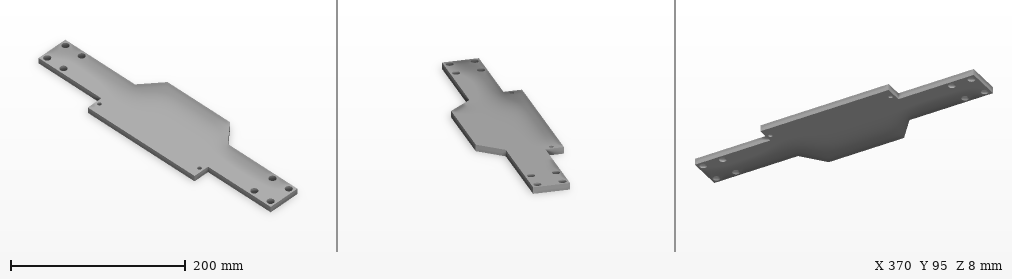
import cadquery as cq

length = 370.0
width = 95.0
thickness = 8.0

tab_length = 170.2
tab_depth = 22.2
arm_width = 44.0
taper_base_length = 148.0
rear_edge_length = 100.0

arm_hole_diameter = 9.2
arm_hole_end_margin = 7.0
arm_hole_spacing_x = 26.0
arm_hole_spacing_y = 30.0

tab_hole_diameter = 5.0
tab_hole_spacing = 159.5
tab_hole_front_margin = 13.7

front_y = -width / 2
rear_y = width / 2
arm_front_y = front_y + tab_depth
arm_rear_y = arm_front_y + arm_width
arm_center_y = (arm_front_y + arm_rear_y) / 2


def plate():
    """Flat plate extruded from its mirror-symmetric outline."""
    right_half = [
        (tab_length / 2, front_y),
        (tab_length / 2, arm_front_y),
        (length / 2, arm_front_y),
        (length / 2, arm_rear_y),
        (taper_base_length / 2, arm_rear_y),
        (rear_edge_length / 2, rear_y),
    ]
    left_half = [(-x, y) for x, y in reversed(right_half)]
    return cq.Workplane("XY").polyline(right_half + left_half).close().extrude(thickness)


def through_holes(centers, diameter):
    """Cylinders that cut through the whole plate at the given centers."""
    return cq.Workplane("XY").pushPoints(centers).circle(diameter / 2).extrude(thickness)


outer_hole_x = length / 2 - arm_hole_end_margin
inner_hole_x = outer_hole_x - arm_hole_spacing_x
arm_hole_centers = [
    (side * x, arm_center_y + row * arm_hole_spacing_y / 2)
    for side in (-1, 1)
    for x in (inner_hole_x, outer_hole_x)
    for row in (-1, 1)
]
tab_hole_centers = [
    (side * tab_hole_spacing / 2, front_y + tab_hole_front_margin)
    for side in (-1, 1)
]

result = (
    plate()
    .cut(through_holes(arm_hole_centers, arm_hole_diameter))
    .cut(through_holes(tab_hole_centers, tab_hole_diameter))
)